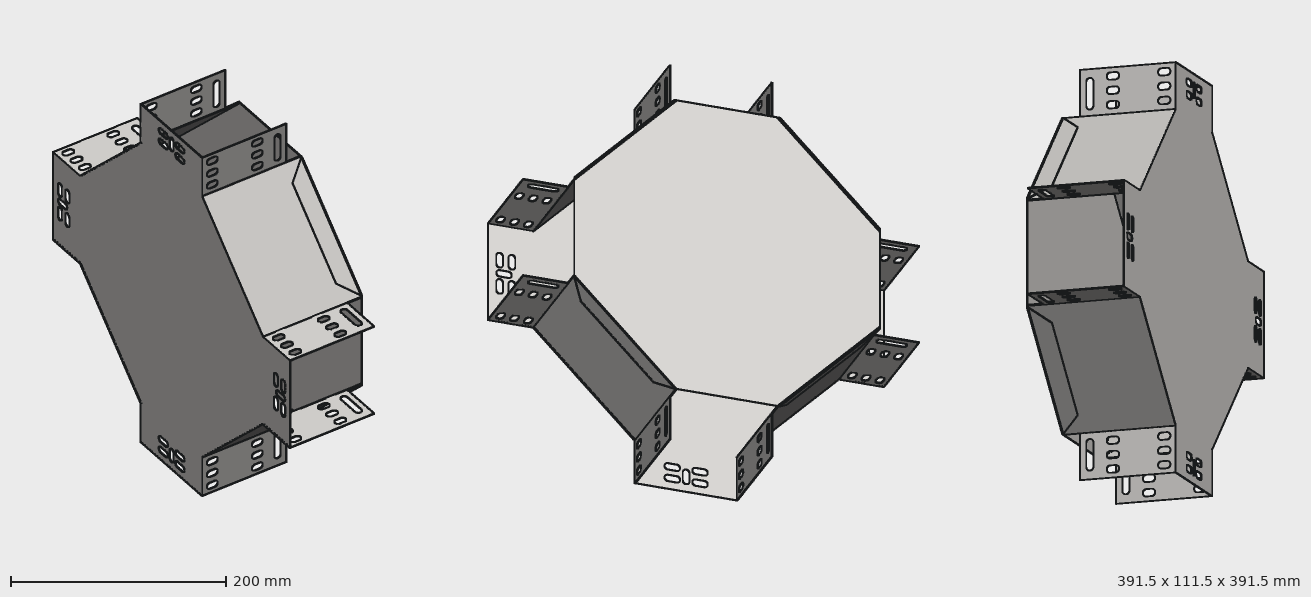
import cadquery as cq
import math


span = 391.5
height = 111.5
sheet = 1.0
arm_width = 101.7
arm_length = 44.5
tab_height = 94.7
flap_depth = 20.0
flap_corner_angle = 45

plate_slot_length = 15.3
plate_slot_width = 6.5
plate_cross_slots = [11.5, 23.5]
plate_cross_offset = 13.7
plate_middle_slot = 15.5

tab_slot_width = 7.0
short_slot_length = 12.0
short_slot_first = 8.2
short_slot_pitch = 13.7
short_slot_columns = 3
short_slot_heights = [11.7, 62.2]
long_slot_length = 30.0
long_slot_from_tip = 23.5
long_slot_height = 85.0

tip = span / 2
half_width = arm_width / 2
corner = tip - arm_length
cover_underside = height - sheet
diagonal_sheet = sheet * math.sqrt(2)
quarter_turns = [0, 90, 180, 270]


def prism(points, bottom, top):
    """Extrude an outline of (x, z) points between two heights along Y."""
    outline = cq.Workplane("XZ", origin=(0, bottom, 0)).polyline(points).close()
    return outline.extrude(bottom - top)


def turned(body, angle):
    """Turn a body about the Y axis through the centre of the crossing."""
    return body.rotate((0, 0, 0), (0, 1, 0), angle)


def octagon(half_side):
    """Corner points of an octagon reaching to the arm roots, with end edges of 2 * half_side."""
    return [
        (corner, -half_side), (corner, half_side), (half_side, corner), (-half_side, corner),
        (-corner, half_side), (-corner, -half_side), (-half_side, -corner), (half_side, -corner),
    ]


def arm():
    """Arm along +X: strip of base plate with a tab along each side."""
    strip = cq.Workplane().box(arm_length, tab_height, arm_width).translate(
        (corner + arm_length / 2, tab_height / 2, 0)
    )
    channel = cq.Workplane().box(arm_length, tab_height, arm_width - 2 * sheet).translate(
        (corner + arm_length / 2, tab_height / 2 + sheet, 0)
    )
    return strip.cut(channel)


def plate_slots():
    """Cutter for the five slots in the plate of the +X arm."""
    places = [
        (tip - distance, side * plate_cross_offset)
        for distance in plate_cross_slots
        for side in (-1, 1)
    ]
    cross_slots = cq.Workplane("XZ").pushPoints(places).slot2D(plate_slot_length, plate_slot_width, 90)
    middle_slot = cq.Workplane("XZ").center(tip - plate_middle_slot, 0)
    middle_slot = middle_slot.slot2D(plate_slot_length, plate_slot_width)
    return cross_slots.extrude(-sheet).union(middle_slot.extrude(-sheet))


def tab_slots():
    """Cutter for the slots through both tabs of the +X arm."""
    places = [
        (tip - short_slot_first - column * short_slot_pitch, slot_height)
        for column in range(short_slot_columns)
        for slot_height in short_slot_heights
    ]
    short_slots = cq.Workplane("XY").pushPoints(places).slot2D(short_slot_length, tab_slot_width, 90)
    long_slot = cq.Workplane("XY").center(tip - long_slot_from_tip, long_slot_height)
    long_slot = long_slot.slot2D(long_slot_length, tab_slot_width)
    return short_slots.extrude(half_width, both=True).union(long_slot.extrude(half_width, both=True))


def corner_wall():
    """Wall across the +X +Z corner, from the base plate up to the cover."""
    outline = [
        (corner, half_width),
        (half_width, corner),
        (half_width - diagonal_sheet, corner),
        (corner, half_width - diagonal_sheet),
    ]
    return prism(outline, 0, cover_underside)


def make_base():
    base = prism(octagon(half_width), 0, sheet)
    slotted_arm = arm().cut(plate_slots()).cut(tab_slots())
    for angle in quarter_turns:
        base = base.union(turned(slotted_arm, angle)).union(turned(corner_wall(), angle))
    return base


def cover_flap(half_side):
    """Flap outside the +X +Z corner wall, narrowing away from the cover."""
    top_half = (corner - half_side) / math.sqrt(2)
    drop = flap_depth - sheet
    bottom_half = top_half - drop / math.tan(math.radians(flap_corner_angle))
    wall_distance = (corner + half_width) / math.sqrt(2)
    outline = [
        (-top_half, cover_underside),
        (top_half, cover_underside),
        (bottom_half, cover_underside - drop),
        (-bottom_half, cover_underside - drop),
    ]
    flap = cq.Workplane("XY", origin=(0, 0, wall_distance)).polyline(outline).close().extrude(sheet)
    return turned(flap, 45)


def make_cover():
    half_side = half_width + diagonal_sheet
    cover = prism(octagon(half_side), cover_underside, height)
    for angle in quarter_turns:
        cover = cover.union(turned(cover_flap(half_side), angle))
    return cover


base = make_base()
cover = make_cover()

result = cq.Compound.makeCompound([base.val(), cover.val()])